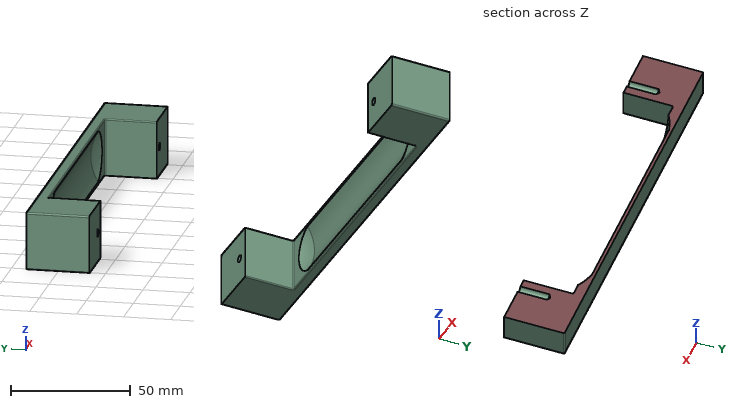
import cadquery as cq
import math

LENGTH = 163.0
DEPTH = 27.0
HEIGHT = 25.0
LEG_WIDTH = 23.1
BAR_THICKNESS = 4.9
OUTER_EDGE_RADIUS = 0.7
INNER_EDGE_RADIUS = 0.5

HOLE_SPACING = 128.0
HOLE_DIAMETER = 3.1
HOLE_DEPTH = 13.0
DRILL_TIP_ANGLE = 118.0

GROOVE_WIDTH = 22.2
GROOVE_DEPTH = 3.3
GROOVE_LENGTH = 106.0
GROOVE_END_RADIUS = 11.5
GROOVE_END_DEPTH = 3.6

MOUNT_FACE = -DEPTH / 2
BAR_INNER_FACE = DEPTH / 2 - BAR_THICKNESS


def radius_of_arc(half_chord, sagitta):
    """Radius of the arc with this half chord and height."""
    return (half_chord**2 + sagitta**2) / (2 * sagitta)


def rod_along_x(radius, length, axis_y):
    """Cylinder centred on X = 0 with its axis parallel to X."""
    return cq.Workplane("YZ", origin=(-length / 2, axis_y, 0)).circle(radius).extrude(length)


def make_body():
    """U-shaped handle, rounded everywhere but around its mounting faces."""
    block = cq.Workplane("XY").box(LENGTH, DEPTH, HEIGHT)
    gap_depth = DEPTH - BAR_THICKNESS
    gap = (
        cq.Workplane("XY")
        .box(LENGTH - 2 * LEG_WIDTH, gap_depth, HEIGHT)
        .translate((0, MOUNT_FACE + gap_depth / 2, 0))
    )
    body = block.cut(gap)
    half_gap = LENGTH / 2 - LEG_WIDTH
    mount_edges = cq.selectors.BoxSelector(
        (-LENGTH, MOUNT_FACE - OUTER_EDGE_RADIUS, -HEIGHT),
        (LENGTH, MOUNT_FACE + OUTER_EDGE_RADIUS, HEIGHT),
    )
    inner_edges = cq.selectors.BoxSelector(
        (-half_gap - INNER_EDGE_RADIUS, -DEPTH, -HEIGHT),
        (half_gap + INNER_EDGE_RADIUS, BAR_INNER_FACE + INNER_EDGE_RADIUS, HEIGHT),
    )
    body = body.edges(inner_edges - mount_edges).fillet(INNER_EDGE_RADIUS)
    outer_faces = body.faces("<X or >X or >Y")
    return outer_faces.edges(cq.selectors.InverseSelector(mount_edges)).fillet(OUTER_EDGE_RADIUS)


def make_groove():
    """Cylindrical trough whose two ends are closed by spheres."""
    trough_radius = radius_of_arc(GROOVE_WIDTH / 2, GROOVE_DEPTH)
    trough_axis = BAR_INNER_FACE + GROOVE_DEPTH - trough_radius
    end_radius = radius_of_arc(GROOVE_END_RADIUS, GROOVE_END_DEPTH)
    end_axis = BAR_INNER_FACE + GROOVE_END_DEPTH - end_radius
    end_spacing = GROOVE_LENGTH - 2 * GROOVE_END_RADIUS

    bar_zone = (
        cq.Workplane("XY")
        .box(LENGTH, BAR_THICKNESS, HEIGHT)
        .translate((0, BAR_INNER_FACE + BAR_THICKNESS / 2, 0))
    )
    long_trough = rod_along_x(trough_radius, LENGTH, trough_axis).intersect(bar_zone)
    groove = rod_along_x(trough_radius, end_spacing, trough_axis).intersect(bar_zone)
    for side in (-1, 1):
        end_sphere = cq.Workplane("XY").sphere(end_radius)
        end_sphere = end_sphere.translate((side * end_spacing / 2, end_axis, 0))
        groove = groove.union(long_trough.intersect(end_sphere))
    return groove.clean()


def make_hole(x):
    """Blind drilled hole with a conical tip."""
    radius = HOLE_DIAMETER / 2
    tip_length = radius / math.tan(math.radians(DRILL_TIP_ANGLE / 2))
    profile = [(0, 0), (radius, 0), (radius, HOLE_DEPTH), (0, HOLE_DEPTH + tip_length)]
    drill = cq.Workplane("XY").polyline(profile).close().revolve(360, (0, 0, 0), (0, 1, 0))
    return drill.translate((x, MOUNT_FACE, 0))


result = make_body().cut(make_groove())
for side in (-1, 1):
    result = result.cut(make_hole(side * HOLE_SPACING / 2))